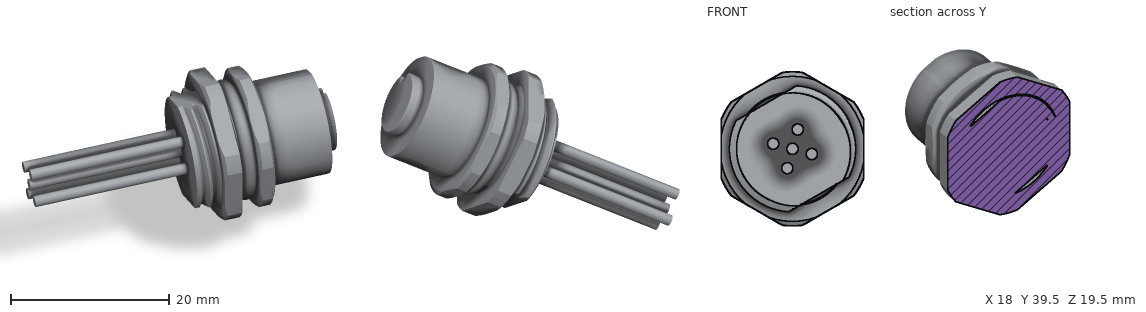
import cadquery as cq
import math

NUT_START = 3.2
NUT_END = 5.5
THREAD_END = 5.92
FLANGE_START = 7.98
FLANGE_END = 10.0
BODY_END = 18.0
INSERT_END = 19.5
TOTAL_LENGTH = 39.5
WIRE_LENGTH = TOTAL_LENGTH - INSERT_END

CUT_MARGIN = 0.4

FLAT_ANGLE = 120
WIDTH_ACROSS_FLATS = 13.3

THREAD_RADIUS = 7.98
ROOT_RADIUS = 7.07
PITCH = 1.5
CREST_WIDTH = PITCH / 8
FLANK_ANGLE = 30
CREST_AT_X = 0.15
THREAD_OVERLAP = 0.1
THREAD_START_ANGLE = FLAT_ANGLE - 180
RUN_OUT_SWEEP = 150
RUN_OUT_RADIUS = 7.43
RUN_OUT_OFFSET = 0.4
RUN_OUT_LOW_ANGLE = 75

NUT_FLATS = 18.0
NUT_CORNERS = 19.5
NUT_BORE = 14.38
NUT_FACE_RADIUS = 9.15

FLANGE_FLATS = 17.05
FLANGE_CORNERS = 18.0
FLANGE_FACE_RADIUS = 8.45

HEX_CHAMFER_ANGLE = 30

RING_OUTER_RADIUS = 7.8
RING_SECTION_RADIUS = (FLANGE_START - THREAD_END) / 2

BODY_RADIUS = 6.75
INSERT_RADIUS = 4.03
INSERT_FILLET = 0.25
KEYWAY_WIDTH = 1.58
KEYWAY_MOUTH_WIDTH = 2.37
KEYWAY_FLOOR = 2.75
KEYWAY_FLARE_START = 3.6

WIRE_RADIUS = 0.7
WIRE_CIRCLE_RADIUS = 2.53
OUTER_WIRE_COUNT = 4
WIRE_FIRST_ANGLE = 15


def along_y(start):
    """Workplane facing +Y at a station; its local X is -X and its local Y is Z."""
    return cq.Workplane(cq.Plane((0, start, 0), xDir=(-1, 0, 0), normal=(0, 1, 0)))


def cylinder(radius, start, end):
    """Cylinder on the Y axis between two stations."""
    return along_y(start).circle(radius).extrude(end - start)


def turned(points):
    """Solid of revolution about Y from (radius, station) points."""
    return cq.Workplane("XY").polyline(points).close().revolve(360, (0, 0, 0), (0, 1, 0))


def hexagon(flats, corners, start, end, face_radius, both_sides):
    """Hexagon with flats on +X and -X, corners cut round and chamfered at its faces."""
    corner_radius = corners / 2
    chamfer = (corner_radius - face_radius) * math.tan(math.radians(HEX_CHAMFER_ANGLE))
    prism = along_y(start).polygon(6, flats, circumscribed=True).extrude(end - start)
    profile = [(0, start), (face_radius, start), (corner_radius, start + chamfer)]
    if both_sides:
        profile += [(corner_radius, end - chamfer), (face_radius, end)]
    else:
        profile += [(corner_radius, end)]
    profile += [(0, end)]
    return prism.intersect(turned(profile))


def ridge(start_angle, sweep):
    """Right-handed thread ridge from an angle in the XZ plane, turning clockwise seen from -Y."""
    inner = ROOT_RADIUS - THREAD_OVERLAP
    crest_half = CREST_WIDTH / 2
    base_half = crest_half + (THREAD_RADIUS - inner) * math.tan(math.radians(FLANK_ANGLE))
    section = [
        (inner, -base_half),
        (THREAD_RADIUS, -crest_half),
        (THREAD_RADIUS, crest_half),
        (inner, base_half),
    ]
    path = cq.Workplane(obj=cq.Wire.makeHelix(PITCH, PITCH * sweep / 360, inner))
    return (
        cq.Workplane("XZ")
        .polyline(section)
        .close()
        .sweep(path, isFrenet=True)
        .rotate((0, 0, 0), (1, 0, 0), -90)
        .rotate((0, 0, 0), (0, 1, 0), -start_angle)
        .translate((0, CREST_AT_X - PITCH * start_angle / 360, 0))
    )


def thread():
    """Full ridge and its growing start, trimmed to the threaded length."""
    turns = math.ceil(THREAD_END / PITCH) + 1
    low = math.radians(RUN_OUT_LOW_ANGLE)
    trim = cylinder(RUN_OUT_RADIUS, 0, THREAD_END).translate(
        (-RUN_OUT_OFFSET * math.cos(low), 0, -RUN_OUT_OFFSET * math.sin(low))
    )
    growing = ridge(THREAD_START_ANGLE + RUN_OUT_SWEEP, RUN_OUT_SWEEP).intersect(trim)
    full = ridge(THREAD_START_ANGLE, 360 * turns)
    full = full.intersect(cylinder(THREAD_RADIUS + CUT_MARGIN, 0, THREAD_END))
    return full.union(growing)


def with_flats(solid):
    """Cut the pair of opposite flats along the whole length of a solid on the axis."""
    slab_width = 4 * BODY_RADIUS
    slab = (
        cq.Workplane("XY")
        .box(WIDTH_ACROSS_FLATS, 2 * BODY_END, slab_width)
        .rotate((0, 0, 0), (0, 1, 0), -FLAT_ANGLE)
    )
    return solid.intersect(slab)


def keyway():
    """Slot in the insert with a flared mouth, facing the same way as the flat."""
    half = KEYWAY_WIDTH / 2
    mouth_half = KEYWAY_MOUTH_WIDTH / 2
    mouth = math.sqrt(INSERT_RADIUS**2 - mouth_half**2)
    outside = INSERT_RADIUS + CUT_MARGIN
    outline = [
        (KEYWAY_FLOOR, -half),
        (KEYWAY_FLARE_START, -half),
        (mouth, -mouth_half),
        (outside, -mouth_half),
        (outside, mouth_half),
        (mouth, mouth_half),
        (KEYWAY_FLARE_START, half),
        (KEYWAY_FLOOR, half),
    ]
    return (
        along_y(BODY_END)
        .polyline(outline)
        .close()
        .extrude(INSERT_END - BODY_END)
        .rotate((0, 0, 0), (0, 1, 0), 180 - FLAT_ANGLE)
    )


def insert():
    """Contact insert with a rounded front edge and the keyway."""
    blank = cylinder(INSERT_RADIUS, BODY_END, INSERT_END).faces(">Y").edges().fillet(INSERT_FILLET)
    return blank.cut(keyway())


def sealing_ring():
    """Round-section ring lying against the rear of the flange."""
    section_centre = RING_OUTER_RADIUS - RING_SECTION_RADIUS
    return (
        cq.Workplane("XY")
        .center(-section_centre, THREAD_END + RING_SECTION_RADIUS)
        .circle(RING_SECTION_RADIUS)
        .revolve(360, (section_centre, 0, 0), (section_centre, 1, 0))
    )


def wires():
    """One wire on the axis and the others evenly spaced around it."""
    return (
        along_y(-WIRE_LENGTH)
        .circle(WIRE_RADIUS)
        .polarArray(WIRE_CIRCLE_RADIUS, WIRE_FIRST_ANGLE, 360, OUTER_WIRE_COUNT)
        .circle(WIRE_RADIUS)
        .extrude(WIRE_LENGTH)
    )


threaded_shell = with_flats(cylinder(ROOT_RADIUS, 0, THREAD_END).union(thread()))
neck = cylinder(ROOT_RADIUS, THREAD_END, FLANGE_START)
body = with_flats(cylinder(BODY_RADIUS, FLANGE_END, BODY_END))
flange = hexagon(FLANGE_FLATS, FLANGE_CORNERS, FLANGE_START, FLANGE_END, FLANGE_FACE_RADIUS, True)
nut = hexagon(NUT_FLATS, NUT_CORNERS, NUT_START, NUT_END, NUT_FACE_RADIUS, False)
nut = nut.cut(cylinder(NUT_BORE / 2, NUT_START, NUT_END))

result = (
    threaded_shell.union(nut)
    .union(neck)
    .union(sealing_ring())
    .union(flange)
    .union(body)
    .union(insert())
    .union(wires())
)